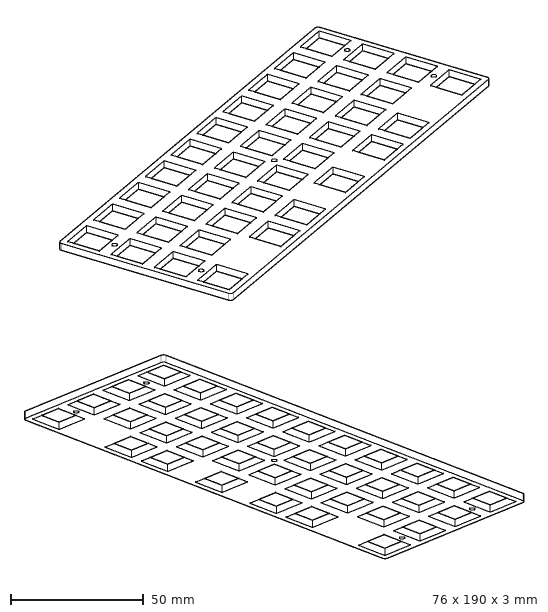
import cadquery as cq

key_pitch = 19.0
columns = 4
rows = 10
thickness = 3.0
corner_radius = 1.3

cutout_size = 13.9
screw_diameter = 2.0

width = columns * key_pitch
length = rows * key_pitch

outer_column = columns - 1
blank_rows = (1, rows - 2)
middle_rows = (rows // 2 - 1, rows // 2)


def cell_center(column, row):
    """Center of a grid cell, with the plate centered on the origin."""
    x = (column + 0.5) * key_pitch - width / 2
    y = (row + 0.5) * key_pitch - length / 2
    return x, y


def key_centers():
    """Centers of all the square key openings."""
    full_columns = [cell_center(column, row) for column in range(outer_column) for row in range(rows)]
    keyless_rows = blank_rows + middle_rows
    outer_keys = [cell_center(outer_column, row) for row in range(rows) if row not in keyless_rows]
    outer_x, _ = cell_center(outer_column, 0)
    return full_columns + outer_keys + [(outer_x, 0)]


def screw_centers():
    """One hole in the middle and two between the keys of each end row."""
    screw_x = width / 2 - key_pitch
    screw_y = length / 2 - key_pitch / 2
    end_holes = [(side * screw_x, end * screw_y) for side in (-1, 1) for end in (-1, 1)]
    return end_holes + [(0, 0)]


plate = cq.Workplane("XY").box(width, length, thickness).edges("|Z").fillet(corner_radius)

key_cutouts = (
    cq.Workplane("XY")
    .pushPoints(key_centers())
    .rect(cutout_size, cutout_size)
    .extrude(thickness, both=True)
)

screw_holes = (
    cq.Workplane("XY")
    .pushPoints(screw_centers())
    .circle(screw_diameter / 2)
    .extrude(thickness, both=True)
)

result = plate.cut(key_cutouts).cut(screw_holes)